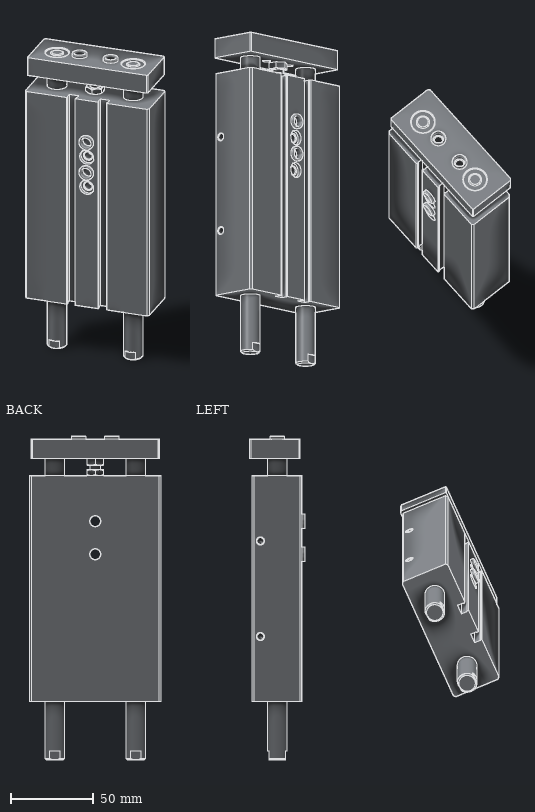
import cadquery as cq
import math


TOTAL_HEIGHT = 196.8
SLEEVE_STANDOFF = 2

HOUSING_WIDTH = 80.0
HOUSING_DEPTH = 30.3
HOUSING_BOTTOM = 35.5
HOUSING_TOP = 172.8
HOUSING_CHAMFER = 1.2
HOUSING_FRONT = -15.0
HOUSING_BACK = HOUSING_FRONT + HOUSING_DEPTH
HOUSING_LEFT = -HOUSING_WIDTH / 2

PLATE_WIDTH = 78.0
PLATE_DEPTH = 30.7
PLATE_THICKNESS = 11.8
PLATE_FRONT_SETBACK = 1.2
PLATE_BACK_CHAMFER = 1.0
PLATE_FRONT_CHAMFER = 0.5
PLATE_TOP = TOTAL_HEIGHT - SLEEVE_STANDOFF
PLATE_BOTTOM = PLATE_TOP - PLATE_THICKNESS
PLATE_FRONT = HOUSING_FRONT + PLATE_FRONT_SETBACK

ROD_SPACING = 49.2
ROD_POSITIONS = (-ROD_SPACING / 2, ROD_SPACING / 2)
ROD_DIAMETER = 12.0
ROD_END_CHAMFER = 1.0
ROD_FLATS = 10.0
ROD_FLAT_HEIGHT = 5.3
ROD_NECK_DIAMETER = 8.0
ROD_TIP_DIAMETER = 6.5
ROD_TIP_CHAMFER_WIDTH = (ROD_NECK_DIAMETER - ROD_TIP_DIAMETER) / 2
ROD_RECESS_MOUTH_DIAMETER = 15.0
ROD_RECESS_FLOOR_DIAMETER = 14.0
ROD_RECESS_DEPTH = (ROD_RECESS_MOUTH_DIAMETER - ROD_RECESS_FLOOR_DIAMETER) / 2

SLEEVE_OUTER = 9.0
SLEEVE_BORE = 6.5
SLEEVE_SEAT_DEPTH = 2.4
SLEEVE_LENGTH = SLEEVE_SEAT_DEPTH + SLEEVE_STANDOFF

THREAD_DIAMETER = 5.0
THREAD_MOUTH_DIAMETER = 6
BLIND_HOLE_DEPTH = 9.8
DRILL_POINT_ANGLE = 118

PLATE_SLEEVE_SPACING = 20.0
PLATE_SLEEVE_POSITIONS = (-PLATE_SLEEVE_SPACING / 2, PLATE_SLEEVE_SPACING / 2)

FRONT_HOLE_PITCH = 10.0
TOP_FRONT_HOLE = 145.0
THROUGH_HOLE_HEIGHTS = (TOP_FRONT_HOLE, TOP_FRONT_HOLE - 2 * FRONT_HOLE_PITCH)
BLIND_HOLE_HEIGHTS = (TOP_FRONT_HOLE - FRONT_HOLE_PITCH, TOP_FRONT_HOLE - 3 * FRONT_HOLE_PITCH)

SLOT_OFFSET = 10.0
SLOT_WIDTH = 5.1
SLOT_DEPTH = 5.0
SLOT_LIP = 1.2
SLOT_UNDERCUT = 0.4
SLOT_EDGE_CHAMFER = 0.5

PORT_DIAMETER = 4.1
PORT_MOUTH_DIAMETER = 5.0
PORT_DEPTH = 6
PORT_FROM_BACK = 5.1
PORT_HEIGHTS = (133.0, 75.0)

HEX_HALF_ANGLE = 30
NUT_FLATS = 10.0
NUT_CORNERS = NUT_FLATS / math.cos(math.radians(HEX_HALF_ANGLE))
LOWER_NUT_HEIGHT = 3.5
LOWER_NUT_FACE_DIAMETER = 10.0
UPPER_NUT_HEIGHT = 4.1
UPPER_NUT_FACE_DIAMETER = 8.9
NUT_CHAMFER_HEIGHT = 0.5
PISTON_ROD_DIAMETER = 6.5

UP = cq.Vector(0, 0, 1)
FROM_FRONT = cq.Vector(0, 1, 0)
FROM_LEFT = cq.Vector(1, 0, 0)
FROM_TOP = cq.Vector(0, 0, -1)


def cylinder(diameter, length, start, direction):
    return cq.Workplane(cq.Solid.makeCylinder(diameter / 2, length, cq.Vector(*start), direction))


def drilled_hole(diameter, depth, start, direction):
    """Blind hole with a conical drill point beyond its full-diameter depth."""
    point_length = diameter / 2 / math.tan(math.radians(DRILL_POINT_ANGLE / 2))
    tip_base = cq.Vector(*start) + direction * depth
    tip = cq.Solid.makeCone(diameter / 2, 0, point_length, tip_base, direction)
    return cylinder(diameter, depth, start, direction).union(cq.Workplane(tip))


def countersink(mouth_diameter, hole_diameter, start, direction):
    """45 degree cone that breaks the edge of a hole."""
    depth = (mouth_diameter - hole_diameter) / 2
    return cq.Workplane(
        cq.Solid.makeCone(mouth_diameter / 2, hole_diameter / 2, depth, cq.Vector(*start), direction)
    )


def make_slot(side):
    """Undercut slot on one side of the centre, with the outer mouth edge broken."""
    inner = side * (SLOT_OFFSET - SLOT_WIDTH / 2)
    outer = side * (SLOT_OFFSET + SLOT_WIDTH / 2)
    undercut = side * SLOT_UNDERCUT
    lip_back = HOUSING_FRONT + SLOT_LIP
    floor = HOUSING_FRONT + SLOT_DEPTH
    return (
        cq.Workplane("XY", origin=(0, 0, HOUSING_BOTTOM))
        .moveTo(inner, HOUSING_FRONT)
        .lineTo(inner, lip_back)
        .lineTo(inner - undercut, lip_back)
        .lineTo(inner - undercut, floor)
        .lineTo(outer + undercut, floor)
        .lineTo(outer + undercut, lip_back)
        .lineTo(outer, lip_back)
        .lineTo(outer, HOUSING_FRONT + SLOT_EDGE_CHAMFER)
        .lineTo(outer + side * SLOT_EDGE_CHAMFER, HOUSING_FRONT)
        .close()
        .extrude(HOUSING_TOP - HOUSING_BOTTOM)
    )


def make_housing():
    height = HOUSING_TOP - HOUSING_BOTTOM
    body = (
        cq.Workplane("XY", origin=(0, HOUSING_FRONT, HOUSING_BOTTOM))
        .box(HOUSING_WIDTH, HOUSING_DEPTH, height, centered=(True, False, False))
        .edges("|Z")
        .chamfer(HOUSING_CHAMFER)
    )

    for side in (-1, 1):
        body = body.cut(make_slot(side))

    for x in ROD_POSITIONS:
        body = body.cut(cylinder(ROD_DIAMETER, height, (x, 0, HOUSING_BOTTOM), UP))

    for z in THROUGH_HOLE_HEIGHTS:
        start = (0, HOUSING_FRONT, z)
        body = body.cut(cylinder(SLEEVE_OUTER, SLEEVE_SEAT_DEPTH, start, FROM_FRONT))
        body = body.cut(cylinder(SLEEVE_BORE, HOUSING_DEPTH, start, FROM_FRONT))

    for z in BLIND_HOLE_HEIGHTS:
        start = (0, HOUSING_FRONT, z)
        seat_floor = (0, HOUSING_FRONT + SLEEVE_SEAT_DEPTH, z)
        body = body.cut(cylinder(SLEEVE_OUTER, SLEEVE_SEAT_DEPTH, start, FROM_FRONT))
        body = body.cut(countersink(THREAD_MOUTH_DIAMETER, THREAD_DIAMETER, seat_floor, FROM_FRONT))
        body = body.cut(drilled_hole(THREAD_DIAMETER, BLIND_HOLE_DEPTH, start, FROM_FRONT))

    for z in PORT_HEIGHTS:
        start = (HOUSING_LEFT, HOUSING_BACK - PORT_FROM_BACK, z)
        body = body.cut(drilled_hole(PORT_DIAMETER, PORT_DEPTH, start, FROM_LEFT))
        body = body.cut(countersink(PORT_MOUTH_DIAMETER, PORT_DIAMETER, start, FROM_LEFT))

    return body


def make_nut(bottom, height, face_diameter, chamfered_ends):
    """Hexagon with a corner toward the front and its corners turned off at the chosen ends."""
    hexagon = (
        cq.Workplane("XY", origin=(0, 0, bottom))
        .polygon(6, NUT_CORNERS)
        .extrude(height)
        .rotate((0, 0, 0), (0, 0, 1), HEX_HALF_ANGLE)
    )
    turned = (
        cylinder(NUT_CORNERS, height, (0, 0, bottom), UP)
        .faces(chamfered_ends)
        .chamfer(NUT_CHAMFER_HEIGHT, (NUT_CORNERS - face_diameter) / 2)
    )
    return hexagon.intersect(turned)


def make_coupling():
    """Piston rod end with a lock nut on the housing and a nut under the plate."""
    rod = cylinder(PISTON_ROD_DIAMETER, PLATE_BOTTOM - HOUSING_TOP, (0, 0, HOUSING_TOP), UP)
    lower_nut = make_nut(HOUSING_TOP, LOWER_NUT_HEIGHT, LOWER_NUT_FACE_DIAMETER, "|Z")
    upper_nut = make_nut(PLATE_BOTTOM - UPPER_NUT_HEIGHT, UPPER_NUT_HEIGHT, UPPER_NUT_FACE_DIAMETER, "<Z")
    return rod.union(lower_nut).union(upper_nut)


def make_plate():
    """Front plate together with the piston rod coupling fixed to its underside."""
    body = (
        cq.Workplane("XY", origin=(0, PLATE_FRONT, PLATE_BOTTOM))
        .box(PLATE_WIDTH, PLATE_DEPTH, PLATE_THICKNESS, centered=(True, False, False))
    )
    body = body.edges("|Z and >Y").chamfer(PLATE_BACK_CHAMFER)
    body = body.edges("|Z and <Y").chamfer(PLATE_FRONT_CHAMFER)

    for x in ROD_POSITIONS:
        start = (x, 0, PLATE_TOP)
        body = body.cut(countersink(ROD_RECESS_MOUTH_DIAMETER, ROD_RECESS_FLOOR_DIAMETER, start, FROM_TOP))
        body = body.cut(cylinder(ROD_NECK_DIAMETER, PLATE_THICKNESS, start, FROM_TOP))

    for x in PLATE_SLEEVE_POSITIONS:
        start = (x, 0, PLATE_TOP)
        body = body.cut(cylinder(SLEEVE_OUTER, SLEEVE_SEAT_DEPTH, start, FROM_TOP))
        body = body.cut(cylinder(THREAD_DIAMETER, PLATE_THICKNESS, start, FROM_TOP))

    return body.union(make_coupling())


def make_guide_rod(x):
    """Rod with wrench flats at the lower end and a chamfered neck that passes through the plate."""
    rod = cylinder(ROD_DIAMETER, PLATE_BOTTOM, (x, 0, 0), UP)
    rod = rod.faces("<Z").chamfer(ROD_END_CHAMFER)

    flats = (
        cq.Workplane("XY", origin=(x, 0, 0))
        .rect(ROD_DIAMETER, ROD_DIAMETER)
        .rect(ROD_DIAMETER, ROD_FLATS)
        .extrude(ROD_FLAT_HEIGHT)
    )
    neck = (
        cylinder(ROD_NECK_DIAMETER, PLATE_THICKNESS, (x, 0, PLATE_BOTTOM), UP)
        .faces(">Z")
        .chamfer(ROD_RECESS_DEPTH, ROD_TIP_CHAMFER_WIDTH)
    )
    return rod.cut(flats).union(neck)


def make_sleeve():
    """Sleeve along +Z with its seat end at the origin and the rim of its other end fully rounded."""
    inner = SLEEVE_BORE / 2
    outer = SLEEVE_OUTER / 2
    rim_radius = (outer - inner) / 2
    shoulder = SLEEVE_LENGTH - rim_radius
    return (
        cq.Workplane("XZ")
        .moveTo(inner, 0)
        .lineTo(outer, 0)
        .lineTo(outer, shoulder)
        .threePointArc((inner + rim_radius, SLEEVE_LENGTH), (inner, shoulder))
        .close()
        .revolve(360, (0, 0, 0), (0, 1, 0))
    )


housing = make_housing()
plate = make_plate()
guide_rods = [make_guide_rod(x) for x in ROD_POSITIONS]
plate_sleeves = [
    make_sleeve().translate((x, 0, PLATE_TOP - SLEEVE_SEAT_DEPTH)) for x in PLATE_SLEEVE_POSITIONS
]
front_sleeves = [
    make_sleeve()
    .rotate((0, 0, 0), (1, 0, 0), 90)
    .translate((0, HOUSING_FRONT + SLEEVE_SEAT_DEPTH, z))
    for z in THROUGH_HOLE_HEIGHTS
]

repeated = guide_rods + plate_sleeves + front_sleeves
result = cq.Compound.makeCompound([housing.val(), plate.val(), *[body.val() for body in repeated]])